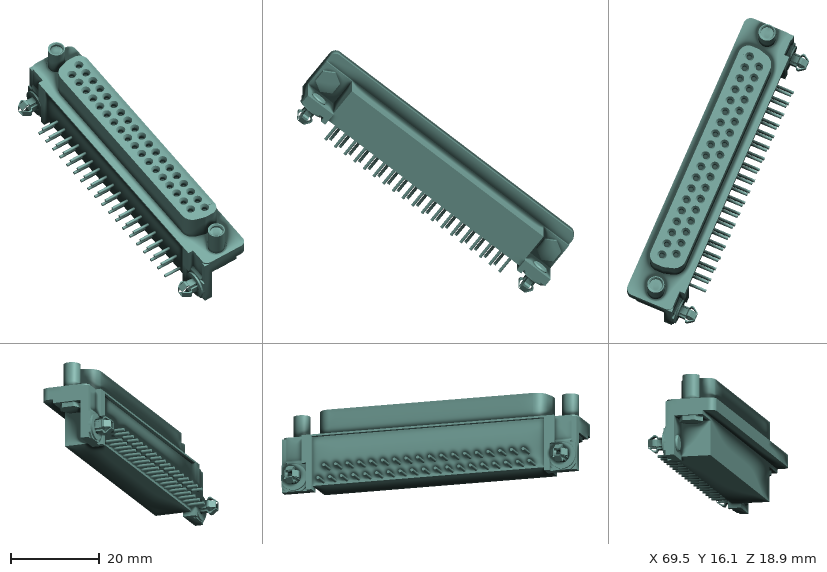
import cadquery as cq


length = 69.55
half_length = length / 2
flange_depth = 12.5
back_y = flange_depth / 2
front_y = -back_y
flange_thickness = 2.85
flange_corner_radius = 1.7

block_width = 54.95
block_half_width = block_width / 2
block_back_y = 3.4
block_front_y = front_y + 1.0
block_bottom_z = -11.75
block_lip = 0.4

ear_bottom_z = -12.7
ear_thickness = 3.75
ear_leg_back_y = -3.3
ear_face_y = -5.2
ear_corner_height = 0.4
upper_notch_inner_x = 29.8
lower_notch_inner_x = 28.7
notch_step_z = -6.5

insert_height = 6.05
insert_half_depth = 4.0
insert_wide_half_width = 27.4
insert_shoulder_y = 0.035
insert_narrow_half_width = 26.2
insert_back_radius = 2.2
insert_front_radius = 2.8

long_row_count = 19
short_row_count = 18
long_row_span = 49.9
contact_pitch = long_row_span / (long_row_count - 1)
row_spacing = 2.85
socket_mouth_diameter = 2.1
socket_bore_diameter = 1.25
socket_mouth_depth = 0.6
socket_depth = 1.4
pin_diameter = 0.7
pin_tip_y = -9.4
long_pin_row_z = -11.0
short_pin_row_z = long_pin_row_z + row_spacing
pin_mark_size = (0.3, 0.7, 0.15)
pin_mark_offset = 1.6

post_x = 31.7
post_diameter = 3.8
post_height = 5.85
post_bore_diameter = 2.85
post_bore_depth = 0.8
post_bore_chamfer = 0.3
post_recess_diameter = 4.7
post_recess_depth = 0.15
nut_corner_diameter = 5.55
nut_thickness = 1.05

lock_z = -9.5
tail_half_width = 1.95
tail_face_y = -5.0
sheet_front_y = -5.6
bend_top_z = -5.4
bend_bottom_z = -6.05
neck_half_width = 1.75
plate_half_width = 3.0
plate_top_z = -6.55
plate_corner = 1.2
pad_diameter = 6.05
pad_front_y = -6.05
pad_hole_diameter = 3.4
rivet_diameter = 3.75
rivet_back_y = -2.8
rivet_chamfer = 0.3

prong_width = 1.5
prong_tip_y = -9.8
prong_inner_radius = 1.0
prong_outer_radius = 1.3
barb_radius = 1.95
barb_wall = 0.35
barb_root_y = -7.65
barb_peak_start_y = -8.0
barb_peak_end_y = -8.5
tip_outer_radius = 1.0
tip_inner_radius = 0.75


def box(x0, x1, y0, y1, z0, z1):
    """Box between two limits along each axis."""
    return cq.Workplane("XY").box(x1 - x0, y1 - y0, z1 - z0, centered=False).translate((x0, y0, z0))


def cylinder_y(diameter, x, z, y_start, y_end):
    """Cylinder along Y, from y_start forward to the smaller y_end."""
    return (
        cq.Workplane("XZ", origin=(x, y_start, z))
        .circle(diameter / 2)
        .extrude(y_start - y_end)
    )


def row_points(count, row):
    """Evenly pitched contact positions centred on X = 0."""
    first = -(count - 1) * contact_pitch / 2
    return [(first + i * contact_pitch, row) for i in range(count)]


def make_flange():
    flange = box(-half_length, half_length, front_y, back_y, -flange_thickness, 0)
    flange = flange.edges("|Z and >Y").fillet(flange_corner_radius)
    thick_ears = box(-half_length, half_length, front_y, block_back_y, -ear_thickness, 0)
    legs = box(-half_length, half_length, front_y, ear_leg_back_y, ear_bottom_z, 0)
    block_gap = box(-block_half_width, block_half_width, front_y, back_y, ear_bottom_z, -block_lip)
    shell = flange.union(thick_ears).union(legs)
    shell = shell.cut(block_gap)
    web = box(-block_half_width, block_half_width, block_front_y, back_y, -flange_thickness, 0)
    block = box(-block_half_width, block_half_width, block_front_y, block_back_y, block_bottom_z, 0)
    return shell.union(web).union(block)


def make_insert():
    outline = [
        (-insert_wide_half_width, insert_half_depth),
        (insert_wide_half_width, insert_half_depth),
        (insert_wide_half_width, insert_shoulder_y),
        (insert_narrow_half_width, -insert_half_depth),
        (-insert_narrow_half_width, -insert_half_depth),
        (-insert_wide_half_width, insert_shoulder_y),
    ]
    insert = cq.Workplane("XY").polyline(outline).close().extrude(insert_height)
    insert = insert.edges("|Z and >Y").fillet(insert_back_radius)
    return insert.edges("|Z and <Y").fillet(insert_front_radius)


def make_sockets():
    """Cutter for all contact openings: a conical mouth leading into a bore."""
    profile = [
        (0, 0),
        (socket_mouth_diameter / 2, 0),
        (socket_bore_diameter / 2, -socket_mouth_depth),
        (socket_bore_diameter / 2, -socket_depth),
        (0, -socket_depth),
    ]
    socket = cq.Workplane("XZ").polyline(profile).close().revolve(360, (0, 0), (0, 1)).val()
    points = row_points(long_row_count, row_spacing / 2)
    points += row_points(short_row_count, -row_spacing / 2)
    return (
        cq.Workplane("XY", origin=(0, 0, insert_height))
        .pushPoints(points)
        .eachpoint(lambda place: socket.moved(place))
    )


def make_pins():
    points = row_points(long_row_count, long_pin_row_z)
    points += row_points(short_row_count, short_pin_row_z)
    return (
        cq.Workplane("XZ", origin=(0, ear_leg_back_y, 0))
        .pushPoints(points)
        .circle(pin_diameter / 2)
        .extrude(ear_leg_back_y - pin_tip_y)
    )


def make_pin_mark():
    """Raised tick next to the first contact."""
    width, depth, height = pin_mark_size
    centre = (long_row_span / 2, row_spacing / 2 + pin_mark_offset, insert_height + height / 2)
    return cq.Workplane("XY").box(width, depth, height).translate(centre)


def make_ear_notch():
    """Cutter for the stepped front and bracket slot of the -X ear."""
    upper = box(-half_length, -upper_notch_inner_x, front_y, ear_face_y, notch_step_z, 0)
    lower = box(-half_length, -lower_notch_inner_x, front_y, ear_face_y, ear_bottom_z, notch_step_z)
    slot = box(
        -post_x - tail_half_width, -upper_notch_inner_x,
        front_y, tail_face_y, bend_bottom_z, 0,
    )
    arc_x = -half_length + flange_corner_radius
    arc_y = ear_face_y + flange_corner_radius
    corner = box(-half_length, arc_x, ear_face_y, arc_y, -ear_corner_height, 0)
    round_part = (
        cq.Workplane("XY", origin=(arc_x, arc_y, -ear_corner_height))
        .circle(flange_corner_radius)
        .extrude(ear_corner_height)
    )
    return upper.union(lower).union(slot).union(corner.cut(round_part))


def make_post():
    """Hollow-ended post of the -X ear, with the nut below the flange."""
    post = (
        cq.Workplane("XY", origin=(-post_x, 0, -ear_thickness))
        .circle(post_diameter / 2)
        .extrude(ear_thickness + post_height)
        .faces(">Z").workplane()
        .hole(post_bore_diameter, post_bore_depth)
        .faces(">Z").edges("%CIRCLE").edges(cq.selectors.RadiusNthSelector(0))
        .chamfer(post_bore_chamfer)
    )
    nut = (
        cq.Workplane("XY", origin=(-post_x, 0, -ear_thickness))
        .transformed(rotate=(0, 0, 90))
        .polygon(6, nut_corner_diameter)
        .extrude(-nut_thickness)
    )
    return post.union(nut)


def make_post_recess():
    return (
        cq.Workplane("XY", origin=(-post_x, 0, 0))
        .circle(post_recess_diameter / 2)
        .extrude(-post_recess_depth)
    )


def make_prong():
    """One barbed prong on the +X side of the Y axis."""
    barb_inner_radius = barb_radius - barb_wall
    profile = [
        (tip_inner_radius, prong_tip_y),
        (tip_outer_radius, prong_tip_y),
        (barb_radius, barb_peak_end_y),
        (barb_radius, barb_peak_start_y),
        (prong_outer_radius, barb_root_y),
        (prong_outer_radius, ear_face_y),
        (prong_inner_radius, ear_face_y),
        (prong_inner_radius, barb_root_y),
        (barb_inner_radius, barb_peak_start_y),
        (barb_inner_radius, barb_peak_end_y),
    ]
    return (
        cq.Workplane("XY", origin=(0, 0, -prong_width / 2))
        .polyline(profile).close()
        .extrude(prong_width)
    )


def make_board_lock():
    """Bracket, pad, rivet and prongs of the -X ear."""
    bend_profile = [
        (tail_face_y, bend_top_z),
        (sheet_front_y, bend_bottom_z),
        (tail_face_y, bend_bottom_z),
    ]
    bend = (
        cq.Workplane("YZ", origin=(-post_x - tail_half_width, 0, 0))
        .polyline(bend_profile).close()
        .extrude(2 * tail_half_width)
    )
    neck = box(
        -post_x - neck_half_width, -post_x + neck_half_width,
        sheet_front_y, ear_face_y, plate_top_z, bend_bottom_z,
    )
    plate = box(
        -post_x - plate_half_width, -post_x + plate_half_width,
        sheet_front_y, ear_face_y, ear_bottom_z, plate_top_z,
    ).edges("|Y and <Z").chamfer(plate_corner)
    pad = cylinder_y(pad_diameter, -post_x, lock_z, ear_face_y, pad_front_y)
    hole = cylinder_y(pad_hole_diameter, -post_x, lock_z, ear_face_y, pad_front_y)
    rivet = cylinder_y(rivet_diameter, -post_x, lock_z, rivet_back_y, ear_leg_back_y)
    rivet = rivet.faces(">Y").chamfer(rivet_chamfer)
    lock = bend.union(neck).union(plate).union(pad).cut(hole).union(rivet)
    prong = make_prong()
    for angle in (0, 90, 180, 270):
        turned = prong.rotate((0, 0, 0), (0, 1, 0), angle)
        lock = lock.union(turned.translate((-post_x, 0, lock_z)))
    return lock


def both_ends(part):
    """The part together with its mirror image at the +X end."""
    return part.union(part.mirror("YZ"))


body = make_flange().cut(both_ends(make_ear_notch())).cut(both_ends(make_post_recess()))
body = body.union(make_insert()).cut(make_sockets()).union(make_pin_mark())
body = body.union(both_ends(make_post())).union(both_ends(make_board_lock()))
result = body.union(make_pins())